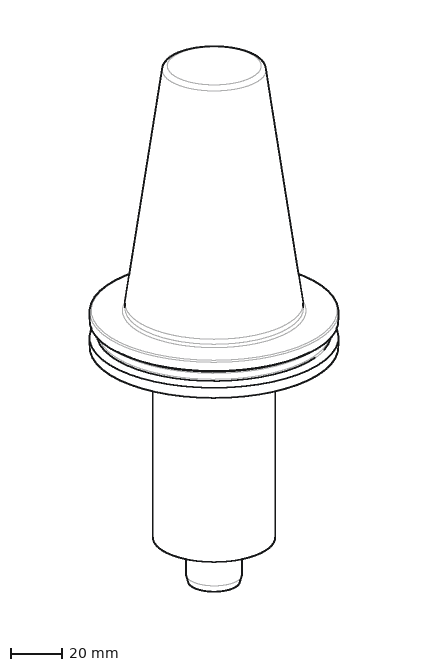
import cadquery as cq
import math

total_length = 220.6
taper_length = 101.5
gauge_diameter = 69.85
taper_ratio = 7 / 24
taper_end_round = 2.0
collar_foot_fillet = 1.0

flange_diameter = 97.45
flange_top_z = -3.15
flange_bottom_z = -19.35
flange_edge_fillet = 0.6
groove_diameter = 91.0
groove_center_z = -11.15
groove_floor_width = 3.5
groove_floor_fillet = 0.8
groove_wall_angle = 30.0

shank_diameter = 48.0
shank_bottom_z = -100.25
pin_diameter = 22.0
pin_chamfer_height = 3.0
pin_chamfer_angle = 15.0


def cylinder(diameter, z_low, z_high):
    """Solid cylinder on the Z axis between two heights."""
    return cq.Workplane("XY").workplane(offset=z_low).circle(diameter / 2).extrude(z_high - z_low)


def make_taper():
    """Cone above the gauge plane with a rounded small end, on a short cylindrical collar."""
    end_radius = (gauge_diameter - taper_length * taper_ratio) / 2
    cone = (
        cq.Workplane("XZ")
        .polyline([(0, 0), (gauge_diameter / 2, 0), (end_radius, taper_length), (0, taper_length)])
        .close()
        .revolve(360, (0, 0, 0), (0, 1, 0))
        .faces(">Z")
        .edges()
        .fillet(taper_end_round)
    )
    return cone.union(cylinder(gauge_diameter, flange_top_z, 0))


def make_flange():
    """Disc with rounded rims and a V-groove around its edge."""
    disc = cylinder(flange_diameter, flange_bottom_z, flange_top_z)
    disc = disc.faces("<Z or >Z").edges().fillet(flange_edge_fillet)
    floor_radius = groove_diameter / 2
    rim_radius = flange_diameter / 2
    half_floor = groove_floor_width / 2
    half_mouth = half_floor + (rim_radius - floor_radius) * math.tan(math.radians(groove_wall_angle))
    groove = (
        cq.Workplane("XZ")
        .polyline([
            (floor_radius, groove_center_z - half_floor),
            (rim_radius, groove_center_z - half_mouth),
            (rim_radius, groove_center_z + half_mouth),
            (floor_radius, groove_center_z + half_floor),
        ])
        .close()
        .revolve(360, (0, 0, 0), (0, 1, 0))
    )
    groove_floor_edges = cq.selectors.RadiusNthSelector(0)
    return disc.cut(groove.edges(groove_floor_edges).fillet(groove_floor_fillet))


def make_pin():
    """Pilot pin with a slender lead-in chamfer at its lower end."""
    bottom_z = taper_length - total_length
    chamfer_width = pin_chamfer_height * math.tan(math.radians(pin_chamfer_angle))
    pin_radius = pin_diameter / 2
    return (
        cq.Workplane("XZ")
        .polyline([
            (0, bottom_z),
            (pin_radius - chamfer_width, bottom_z),
            (pin_radius, bottom_z + pin_chamfer_height),
            (pin_radius, shank_bottom_z),
            (0, shank_bottom_z),
        ])
        .close()
        .revolve(360, (0, 0, 0), (0, 1, 0))
    )


def round_collar_foot(body):
    """Fillet the inside corner where the collar meets the flange."""
    margin = collar_foot_fillet / 2
    reach = gauge_diameter / 2 + margin
    corner = cq.selectors.BoxSelector(
        (-reach, -reach, flange_top_z - margin),
        (reach, reach, flange_top_z + margin),
        boundingbox=True,
    )
    return body.edges(corner).fillet(collar_foot_fillet)


shank = cylinder(shank_diameter, shank_bottom_z, flange_bottom_z)
head = round_collar_foot(make_taper().union(make_flange()))
result = head.union(shank).union(make_pin())